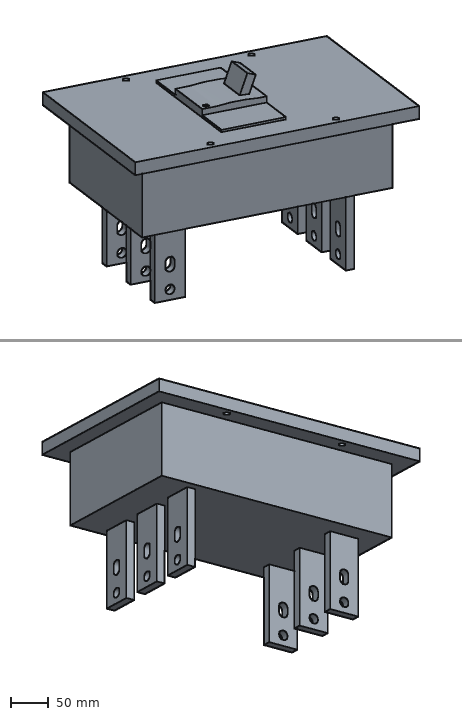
import cadquery as cq
import math

total_height = 277.0

flange_width = 268.0
flange_length = 420.0
flange_thickness = 18.5
body_width = 210.0
body_length = 370.5
body_depth = 104.5

mount_hole_diameter = 9.0
mount_hole_spacing_x = 244.5
mount_hole_spacing_y = 185.5

escutcheon_width = 189.0
escutcheon_length = 95.5
escutcheon_height = 3.5
escutcheon_y = -14.5
block_width = 77.5
block_height = 12.0

crown_rear_y = 21.5
crown_front_y = -41.5
crown_rise = 1.5

window_width = 5.5
window_length = 6.7
window_depth = 0.5
window_x = 30.0
window_y = -52.5

toggle_width = 45.5
toggle_thickness = 13.5
toggle_height = 43.3
toggle_lean = 21.0
toggle_front_top_y = 12.5

terminal_width = 45.5
terminal_thickness = 12.5
terminal_pitch = 69.7
terminal_y = 129.0
terminal_hole_diameter = 13.5
terminal_slot_length = 21.0
hole_above_tip = 15.0
slot_above_tip = 51.2

body_bottom_z = -flange_thickness - body_depth
terminal_tip_z = toggle_height - total_height


def block_between(width, length, bottom_z, top_z, x=0, y=0):
    """Rectangular block centred at (x, y), spanning bottom_z to top_z."""
    return (
        cq.Workplane("XY", origin=(x, y, bottom_z))
        .rect(width, length)
        .extrude(top_z - bottom_z)
    )


def make_housing():
    """Drilled flange plate with the body below it."""
    flange = block_between(flange_width, flange_length, -flange_thickness, 0)
    flange = (
        flange.faces(">Z").workplane()
        .rect(mount_hole_spacing_x, mount_hole_spacing_y, forConstruction=True)
        .vertices()
        .hole(mount_hole_diameter)
    )
    return flange.union(block_between(body_width, body_length, body_bottom_z, -flange_thickness))


def make_crown():
    """Shallow circular-arc cap spanning the full block width."""
    crown_middle_y = (crown_front_y + crown_rear_y) / 2
    return (
        cq.Workplane("YZ")
        .moveTo(crown_front_y, block_height)
        .threePointArc((crown_middle_y, block_height + crown_rise), (crown_rear_y, block_height))
        .close()
        .extrude(block_width / 2, both=True)
    )


def make_escutcheon():
    """Thin strip, raised block, crown and sunken indicator window."""
    strip = block_between(escutcheon_width, escutcheon_length, 0, escutcheon_height, y=escutcheon_y)
    block = block_between(block_width, escutcheon_length, 0, block_height, y=escutcheon_y)
    window = block_between(
        window_width, window_length, block_height - window_depth, block_height, window_x, window_y
    )
    return strip.union(block).union(make_crown()).cut(window)


def make_toggle():
    """Leaning rectangular handle, rooted through the raised block into the plate."""
    lean = math.radians(toggle_lean)
    root_z = escutcheon_height
    handle_length = (toggle_height - root_z) / math.cos(lean)
    down_front = (-math.sin(lean) * handle_length, -math.cos(lean) * handle_length)
    to_rear = (math.cos(lean) * toggle_thickness, -math.sin(lean) * toggle_thickness)
    return (
        cq.Workplane("YZ")
        .moveTo(toggle_front_top_y, toggle_height)
        .line(*down_front)
        .line(*to_rear)
        .line(-down_front[0], -down_front[1])
        .close()
        .extrude(toggle_width / 2, both=True)
    )


def make_terminal():
    """Bar hanging from the body at X = Y = 0, wide along X, with a hole and a slot through Y."""
    bar = block_between(terminal_width, terminal_thickness, terminal_tip_z, body_bottom_z)
    hole = (
        cq.Workplane("XZ")
        .center(0, terminal_tip_z + hole_above_tip)
        .circle(terminal_hole_diameter / 2)
        .extrude(terminal_thickness, both=True)
    )
    slot = (
        cq.Workplane("XZ")
        .center(0, terminal_tip_z + slot_above_tip)
        .slot2D(terminal_slot_length, terminal_hole_diameter, angle=90)
        .extrude(terminal_thickness, both=True)
    )
    return bar.cut(hole).cut(slot)


result = make_housing().union(make_escutcheon()).union(make_toggle())

rear_terminal = make_terminal()
front_terminal = rear_terminal.rotate((0, 0, 0), (0, 0, 1), 90)
for column in (-1, 0, 1):
    terminal_x = column * terminal_pitch
    result = result.union(rear_terminal.translate((terminal_x, terminal_y, 0)))
    result = result.union(front_terminal.translate((terminal_x, -terminal_y, 0)))